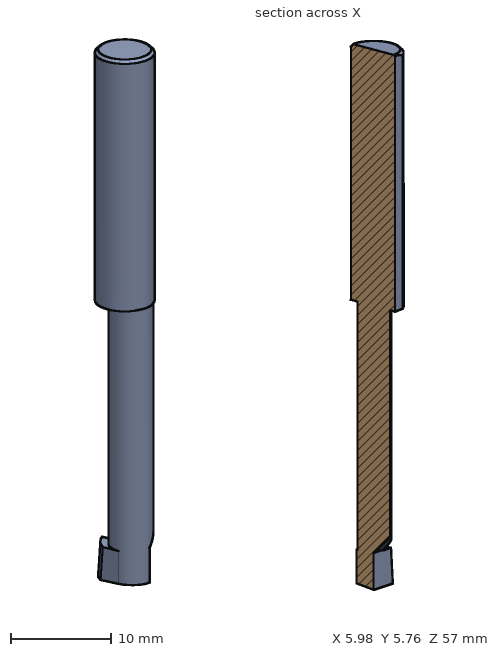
import cadquery as cq
import math

total_length = 57.0
shank_radius = 2.99
flat_y = 2.765
top_chamfer = 0.35

shoulder_z = 30.0
neck_radius = 2.25
neck_x = shank_radius - neck_radius

head_height = 3.9
head_lean = 0.3
edge_x = -shank_radius
knee_x = -2.15
knee_y = -1.55
front_x = -1.4
flank_bulge = 0.085
relief_end_z = 4.0

end_relief_y = 5.0
end_relief_x = 2.0
cutter_size = 22.8


def make_shank():
    length = total_length - shoulder_z
    shank = cq.Workplane("XY").workplane(offset=shoulder_z).circle(shank_radius).extrude(length)
    shank = shank.faces(">Z").chamfer(top_chamfer)
    beyond_flat = (
        cq.Workplane("XY", origin=(0, flat_y, shoulder_z))
        .rect(2 * shank_radius, 2 * shank_radius)
        .extrude(length)
        .translate((0, shank_radius, 0))
    )
    return shank.cut(beyond_flat)


def make_neck():
    neck = cq.Workplane("XY").center(neck_x, 0).circle(neck_radius).extrude(shoulder_z)
    relief = (
        cq.Workplane("YZ", origin=(neck_x, 0, 0))
        .polyline([
            (0, 0),
            (neck_radius, 0),
            (neck_radius, relief_end_z + neck_radius),
            (0, relief_end_z),
        ])
        .close()
        .extrude(neck_radius, both=True)
    )
    return neck.cut(relief)


def draw_head_outline(plane, setback):
    """Plan outline of the head, with its outer corners moved toward +X by setback."""
    knee = (knee_x + setback, knee_y)
    return (
        plane.moveTo(neck_x, 0)
        .lineTo(edge_x + setback, 0)
        .sagittaArc(knee, -flank_bulge)
        .lineTo(front_x + setback, -neck_radius)
        .lineTo(neck_x, -neck_radius)
        .close()
    )


def make_head():
    lower = draw_head_outline(cq.Workplane("XY"), 0)
    both_ends = draw_head_outline(lower.workplane(offset=head_height, origin=(0, 0, 0)), head_lean)
    return both_ends.loft(ruled=True)


def make_end_relief():
    """Block whose tilted top passes through the lowest point, the cutting corner."""
    slope_x = math.tan(math.radians(end_relief_x))
    slope_y = math.tan(math.radians(end_relief_y))
    plane = cq.Plane(origin=(edge_x, 0, 0), xDir=(1, 0, slope_x), normal=(-slope_x, slope_y, 1))
    return cq.Workplane(plane).rect(cutter_size, cutter_size).extrude(-cutter_size)


result = make_shank().union(make_neck()).union(make_head()).cut(make_end_relief())